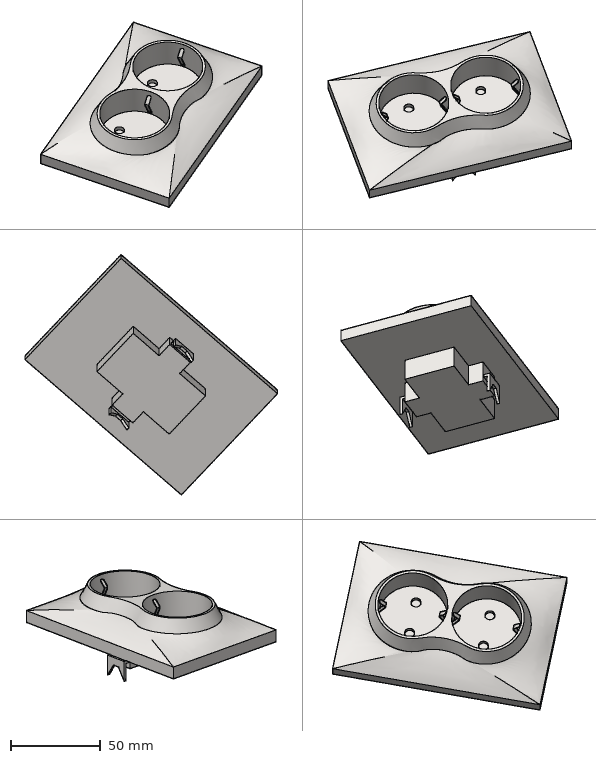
import cadquery as cq
import math

PLATE_X = 80.0
PLATE_Y = 118.0
PLATE_HEIGHT = 7.2

SKIRT_TOP = 15.2
SKIRT_CROWN = 0.8
SKIRT_INSET = 0.4
SKIRT_RISE = 0.06
SIDE_STEPS = 16
HALFWAY = 0.5
RING_ORDER = ("left", "back", "right", "front")
LOW_SEAM_ANGLE = math.radians(-28)

COLLAR_TOP = 22.9
SOCKET_Y = 21.0
COLLAR_RADIUS = 21.0
COLLAR_WAIST = 17.0
COLLAR_FLARE = 3.9
COLLAR_ROOT = 0.6

SOCKET_DIAMETER = 39.0
SOCKET_DEPTH = 17.1
PIN_DIAMETER = 5.5
PIN_X = 9.5
PIN_DEPTH = 2.5
SOCKET_FLOOR = COLLAR_TOP - SOCKET_DEPTH

CONTACT_WIDTH = 2.5
CONTACT_THICKNESS = 0.5
CONTACT_FOOT_RADIUS = 19.8
CONTACT_BEND_RADIUS = 14.8
CONTACT_BEND_Z = 16.4
CONTACT_TIP_RADIUS = 18.8
CONTACT_TIP_Z = 20.5
CONTACT_BEND_FILLET = 2.1
CONTACT_TIP_FILLET = 1.2

BODY_DEPTH = 13.1
BODY_WIDE_X = 47.9
BODY_WIDE_Y = 15.6
BODY_LONG_X = 30.2
BODY_LONG_Y = 54.5

CLAW_REACH = 27.6
CLAW_THICKNESS = 1.7
CLAW_WIDTH = 13.3
CLAW_TOP = -8.0
CLAW_TIP = -20.1
NOTCH_TOP = -12.7
NOTCH_WIDTH = 4.0

WAIST_RADIUS = (SOCKET_Y**2 + COLLAR_WAIST**2 - COLLAR_RADIUS**2) / (
    2 * (COLLAR_RADIUS - COLLAR_WAIST)
)
TANGENT_ANGLE = math.atan2(SOCKET_Y, COLLAR_WAIST + WAIST_RADIUS)


def end_point(radius, angle, side_x, side_y, z):
    """Point on an end arc, at an angle from the X axis towards (or past) the waist."""
    x = radius * math.cos(angle)
    y = SOCKET_Y - radius * math.sin(angle)
    return cq.Vector(side_x * x, side_y * y, z)


def waist_edge(flare, side_x, z):
    """Concave arc on one long side, running from -Y to +Y."""
    radius = COLLAR_RADIUS + flare
    start = end_point(radius, TANGENT_ANGLE, side_x, -1, z)
    middle = cq.Vector(side_x * (COLLAR_WAIST + flare), 0, z)
    finish = end_point(radius, TANGENT_ANGLE, side_x, 1, z)
    return cq.Edge.makeThreePointArc(start, middle, finish)


def end_edge(flare, side_y, z, left_angle=TANGENT_ANGLE):
    """Convex arc around one end, running from -X to +X."""
    radius = COLLAR_RADIUS + flare
    start = end_point(radius, left_angle, -1, side_y, z)
    middle = cq.Vector(0, side_y * (SOCKET_Y + radius), z)
    finish = end_point(radius, TANGENT_ANGLE, 1, side_y, z)
    return cq.Edge.makeThreePointArc(start, middle, finish)


def collar_outline(flare, z):
    """Closed figure-eight outline, widened all round by the flare."""
    edges = [
        waist_edge(flare, -1, z),
        end_edge(flare, 1, z),
        waist_edge(flare, 1, z),
        end_edge(flare, -1, z),
    ]
    return cq.Wire.assembleEdges(edges)


def make_collar():
    """Flared wall, carried down at the same slope so that its foot is buried in the skirt."""
    slope = COLLAR_FLARE / (COLLAR_TOP - SKIRT_TOP)
    foot = collar_outline(COLLAR_FLARE + slope * COLLAR_ROOT, SKIRT_TOP - COLLAR_ROOT)
    return cq.Solid.makeLoft([foot, collar_outline(0, COLLAR_TOP)], True)


def skirt_top_wires():
    """The four sides of the skirt's top, just inside the collar, each running towards +X or +Y."""
    flare = COLLAR_FLARE - SKIRT_INSET
    radius = COLLAR_RADIUS + flare
    z = SKIRT_TOP + SKIRT_RISE
    left_arc = cq.Edge.makeThreePointArc(
        end_point(radius, LOW_SEAM_ANGLE, -1, -1, z),
        end_point(radius, (TANGENT_ANGLE + LOW_SEAM_ANGLE) / 2, -1, -1, z),
        end_point(radius, TANGENT_ANGLE, -1, -1, z),
    )
    return {
        "left": cq.Wire.assembleEdges([left_arc, waist_edge(flare, -1, z)]),
        "right": cq.Wire.assembleEdges([waist_edge(flare, 1, z)]),
        "front": cq.Wire.assembleEdges([end_edge(flare, -1, z, LOW_SEAM_ANGLE)]),
        "back": cq.Wire.assembleEdges([end_edge(flare, 1, z)]),
    }


def plate_edges():
    """The four sides of the plate's top, each running towards +X or +Y."""
    x = PLATE_X / 2
    y = PLATE_Y / 2
    ends = {
        "left": [(-x, -y), (-x, y)],
        "right": [(x, -y), (x, y)],
        "front": [(-x, -y), (x, -y)],
        "back": [(-x, y), (x, y)],
    }
    return {
        side: cq.Edge.makeLine(cq.Vector(*start, PLATE_HEIGHT), cq.Vector(*finish, PLATE_HEIGHT))
        for side, (start, finish) in ends.items()
    }


def skirt_ring(height_fraction):
    """Closed outline part-way from the plate (0) to the collar (1), crowned in between."""
    base_edges = plate_edges()
    top_wires = skirt_top_wires()
    crown = cq.Vector(0, 0, 4 * SKIRT_CROWN * height_fraction * (1 - height_fraction))
    edges = []
    for side in RING_ORDER:
        points = []
        for step in range(SIDE_STEPS + 1):
            base = base_edges[side].positionAt(step / SIDE_STEPS)
            top = top_wires[side].positionAt(step / SIDE_STEPS)
            points.append(base + (top - base) * height_fraction + crown)
        edges.append(cq.Edge.makeSpline(points))
    return cq.Wire.assembleEdges(edges)


def make_skirt():
    """Crowned skirt lofted from the plate's rectangle up to the collar."""
    sides = plate_edges()
    plate_outline = cq.Wire.assembleEdges([sides[name] for name in RING_ORDER])
    return cq.Solid.makeLoft([plate_outline, skirt_ring(HALFWAY), skirt_ring(1)])


def make_body():
    """Cross-shaped block hanging from the underside of the plate."""
    wide = cq.Workplane("XY").rect(BODY_WIDE_X, BODY_WIDE_Y).extrude(-BODY_DEPTH)
    lengthwise = cq.Workplane("XY").rect(BODY_LONG_X, BODY_LONG_Y).extrude(-BODY_DEPTH)
    return wide.union(lengthwise)


def make_claws():
    """A bar across the body whose ends bend down into notched claws."""
    inner_reach = CLAW_REACH - CLAW_THICKNESS
    span = (
        cq.Workplane("XY", origin=(0, 0, CLAW_TOP))
        .rect(2 * CLAW_REACH, CLAW_WIDTH)
        .extrude(CLAW_TIP - CLAW_TOP)
    )
    gap = (
        cq.Workplane("XY", origin=(0, 0, CLAW_TOP - CLAW_THICKNESS))
        .rect(2 * inner_reach, CLAW_WIDTH)
        .extrude(CLAW_TIP - CLAW_TOP)
    )
    notch = (
        cq.Workplane("YZ")
        .moveTo(-CLAW_WIDTH / 2, CLAW_TIP)
        .lineTo(-NOTCH_WIDTH / 2, NOTCH_TOP)
        .lineTo(NOTCH_WIDTH / 2, NOTCH_TOP)
        .lineTo(CLAW_WIDTH / 2, CLAW_TIP)
        .close()
        .extrude(CLAW_REACH, both=True)
    )
    return span.cut(gap).cut(notch)


def make_sockets():
    """Cutter for the two round recesses and their blind pin holes."""
    sites = [(0, -SOCKET_Y), (0, SOCKET_Y)]
    pins = [(side * PIN_X, y) for side in (-1, 1) for _, y in sites]
    floor = cq.Workplane("XY", origin=(0, 0, SOCKET_FLOOR))
    recesses = floor.pushPoints(sites).circle(SOCKET_DIAMETER / 2).extrude(SOCKET_DEPTH)
    holes = floor.pushPoints(pins).circle(PIN_DIAMETER / 2).extrude(-PIN_DEPTH)
    return recesses.union(holes)


def make_contact():
    """V-bent strip on the +Y wall of a socket centred on the Z axis."""
    inner_line = (
        cq.Workplane("YZ")
        .moveTo(CONTACT_FOOT_RADIUS, SOCKET_FLOOR)
        .lineTo(CONTACT_BEND_RADIUS, CONTACT_BEND_Z)
        .lineTo(CONTACT_TIP_RADIUS, CONTACT_TIP_Z)
    )
    foot_angle = math.atan2(CONTACT_BEND_Z - SOCKET_FLOOR, CONTACT_BEND_RADIUS - CONTACT_FOOT_RADIUS)
    tip_angle = math.atan2(CONTACT_TIP_Z - CONTACT_BEND_Z, CONTACT_TIP_RADIUS - CONTACT_BEND_RADIUS)
    half_bend = (foot_angle - tip_angle) / 2
    bend_direction = (foot_angle + tip_angle) / 2 - math.pi / 2
    miter = CONTACT_THICKNESS / math.cos(half_bend)
    strip = (
        inner_line
        .lineTo(
            CONTACT_TIP_RADIUS + CONTACT_THICKNESS * math.sin(tip_angle),
            CONTACT_TIP_Z - CONTACT_THICKNESS * math.cos(tip_angle),
        )
        .lineTo(
            CONTACT_BEND_RADIUS + miter * math.cos(bend_direction),
            CONTACT_BEND_Z + miter * math.sin(bend_direction),
        )
        .lineTo(CONTACT_FOOT_RADIUS + CONTACT_THICKNESS / math.sin(foot_angle), SOCKET_FLOOR)
        .close()
        .extrude(CONTACT_WIDTH / 2, both=True)
    )
    inner_bend = cq.selectors.NearestToPointSelector((0, CONTACT_BEND_RADIUS, CONTACT_BEND_Z))
    strip = strip.edges(inner_bend).fillet(CONTACT_BEND_FILLET)
    tip_corners = strip.faces(">Z").edges("not |X")
    return tip_corners.fillet(CONTACT_TIP_FILLET)


plate = cq.Workplane("XY").rect(PLATE_X, PLATE_Y).extrude(PLATE_HEIGHT)
dome = cq.Workplane(make_skirt()).union(cq.Workplane(make_collar()))
result = plate.union(make_body()).union(dome).cut(make_sockets())

contact = make_contact()
for socket_y in (-SOCKET_Y, SOCKET_Y):
    for turn in (0, 180):
        placed = contact.rotate((0, 0, 0), (0, 0, 1), turn).translate((0, socket_y, 0))
        result = result.union(placed)

result = result.union(make_claws())